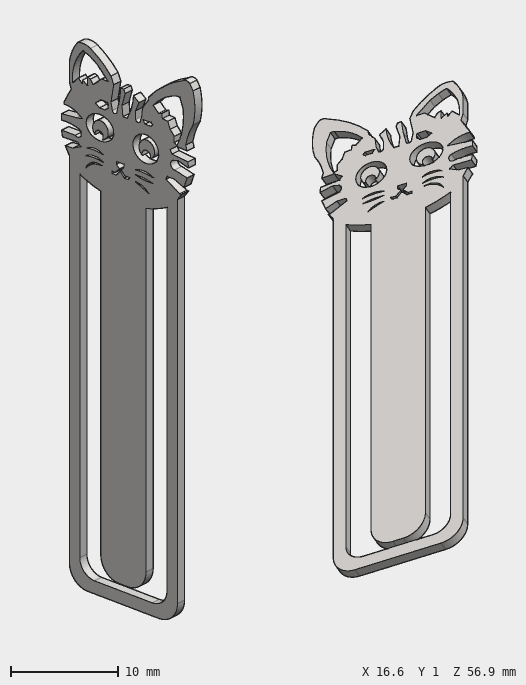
import cadquery as cq

thickness = 1.0

frame_width = 13.45
frame_corner_radius = 2.3
rail_width = 1.3
bottom_rail_height = 1.35
opening_corner_radius = 1.8
opening_width = frame_width - 2 * rail_width

tongue_width = 5.65
tongue_end_radius = 2.3
tongue_bottom = 2.05

chin_bottom = 41.7
chin_rise = 2.0
chin_side = frame_width / 2
chin_end = chin_bottom + chin_rise
tongue_top = chin_bottom + chin_rise / 2

eye_centers = [(-2.9, 48.6), (2.8, 48.2)]
eye_half_sizes = [(1.7, 1.35), (1.6, 1.5)]
pupil_centers = [(-2.85, 48.4), (2.9, 48.2)]
pupil_radius = 0.95
highlight_centers = [(-3.0, 47.75), (2.85, 47.6)]
highlight_radius = 0.5

head_start = (-chin_side, chin_end)
left_cheek = [
    ((-chin_side, 44.5),),
    ((-7.2, 45.35),),
]
left_whiskers = [
    ((-6.25, 45.4),),
    ((-5.3, 45.85),),
    ((-5.7, 46.2),),
    ((-7.55, 46.15),),
    ((-7.7, 46.85),),
    ((-6.0, 46.85),),
    ((-5.25, 47.3), (-5.5, 47.65)),
    ((-6.6, 47.85), (-7.7, 47.85)),
    ((-7.7, 48.55),),
    ((-5.8, 48.7),),
    ((-5.1, 48.85),),
    ((-6.2, 49.45), (-7.4, 49.6)),
]
left_ear = [
    ((-7.4, 49.8),),
    ((-6.85, 50.9),),
    ((-6.5, 51.45),),
    ((-6.7, 52.2),),
    ((-6.7, 54.3),),
    ((-6.4, 55.45), (-5.7, 56.55)),
    ((-4.9, 56.7), (-4.1, 56.45)),
    ((-2.75, 55.55), (-1.55, 54.4)),
    ((-1.2, 53.6),),
    ((-1.55, 51.75),),
]
fringe = [
    ((-1.35, 50.9),),
    ((-1.1, 50.65), (-0.8, 50.95)),
    ((-0.5, 52.2),),
    ((-0.35, 53.55),),
    ((0.05, 53.55),),
    ((0.2, 53.15),),
    ((-0.15, 51.8),),
    ((-0.05, 50.65),),
    ((0.45, 50.65),),
    ((0.95, 51.8), (1.25, 53.25)),
    ((1.95, 52.75),),
    ((1.55, 51.8),),
    ((1.55, 50.9),),
    ((1.8, 50.65), (2.1, 50.95)),
    ((2.3, 51.4),),
]
right_ear = [
    ((2.4, 52.45),),
    ((3.1, 53.3),),
    ((3.15, 53.7),),
    ((5.0, 55.45), (7.35, 56.75)),
    ((7.8, 56.9), (8.25, 56.75)),
    ((8.65, 56.1),),
    ((8.9, 54.35), (8.65, 52.6)),
    ((8.1, 51.4), (7.75, 50.2)),
    ((7.9, 49.6),),
]
right_whiskers = [
    ((6.6, 49.7),),
    ((5.8, 49.1),),
    ((6.05, 48.7),),
    ((8.0, 48.55),),
    ((8.1, 47.9),),
    ((6.8, 48.25),),
    ((6.1, 48.1),),
    ((5.85, 47.65), (6.4, 47.2)),
    ((7.9, 46.85),),
    ((7.5, 45.7),),
    ((6.3, 46.2),),
    ((5.4, 46.2),),
    ((5.3, 45.85),),
    ((7.0, 44.9),),
    ((7.2, 44.9),),
]
right_cheek = [
    ((chin_side, 44.2),),
    ((chin_side, chin_end),),
]
chin = [
    ((0, chin_bottom), head_start),
]

left_ear_opening_start = (-5.0, 55.95)
left_ear_opening = [
    ((-4.15, 55.6),),
    ((-3.3, 55.1),),
    ((-1.9, 53.7),),
    ((-2.75, 53.7),),
    ((-3.75, 52.8),),
    ((-4.1, 53.25),),
    ((-4.45, 53.4),),
    ((-4.45, 52.45),),
    ((-5.05, 52.85),),
    ((-5.1, 52.45),),
    ((-5.6, 52.9),),
    ((-6.3, 52.2),),
    ((-5.9, 54.6), left_ear_opening_start),
]
right_ear_opening_start = (3.7, 53.05)
right_ear_opening = [
    ((5.05, 54.25), (6.6, 54.9)),
    ((7.0, 54.9),),
    ((7.4, 53.85),),
    ((7.35, 51.8), (6.65, 49.8)),
    ((6.3, 50.0),),
    ((6.3, 50.65),),
    ((5.8, 51.2),),
    ((5.5, 51.95),),
    ((4.85, 52.0),),
    ((4.8, 52.5),),
    ((4.4, 52.4),),
    (right_ear_opening_start,),
]

left_brow = [(-3.45, 51.0), (-2.85, 51.5), (-2.0, 51.5), (-1.9, 51.35), (-1.95, 50.95), (-2.3, 50.65), (-2.95, 50.65)]
right_brow = [(2.45, 51.15), (3.4, 51.15), (3.65, 51.0), (3.4, 50.75), (2.7, 50.75)]

nose = [(-0.85, 45.75), (0.05, 45.75), (0.05, 45.45), (-0.4, 45.0), (-0.85, 45.45)]
mouth = [
    (-0.4, 45.2), (0.2, 44.55), (0.8, 44.6), (0.55, 44.35), (0.1, 44.35),
    (-0.4, 44.9), (-0.9, 44.35), (-1.4, 44.35), (-1.4, 44.55), (-1.0, 44.55),
]

cheek_slits = [
    ((-4.5, 46.0), (-3.45, 46.15), (-2.5, 45.9)),
    ((-4.65, 45.15), (-3.6, 45.35), (-2.5, 45.15)),
    ((-4.65, 43.9), (-3.8, 44.6), (-2.7, 44.75)),
    ((1.5, 45.65), (2.55, 45.75), (3.7, 45.5)),
    ((1.5, 45.15), (2.55, 45.0), (3.65, 44.9)),
    ((1.5, 44.4), (2.35, 44.15), (3.15, 43.7)),
]
slit_width = 0.2


def plate(sketch):
    """Extrude a closed sketch on the XZ plane through the full thickness."""
    return sketch.extrude(-thickness)


def profile(start, runs):
    """Plate with an outline of straight and arc runs."""
    path = cq.Workplane("XZ").moveTo(*start)
    for run in runs:
        if len(run) == 1:
            path = path.lineTo(*run[0])
        else:
            path = path.threePointArc(*run)
    return plate(path.close())


def polygon(points):
    """Plate with a straight-sided outline."""
    return plate(cq.Workplane("XZ").polyline(points).close())


def disc(center, radius):
    """Round plate."""
    return plate(cq.Workplane("XZ").center(*center).circle(radius))


def strip(width, bottom, top, corner_radius):
    """Upright strip with its two bottom corners rounded."""
    height = top - bottom
    block = plate(cq.Workplane("XZ").center(0, bottom + height / 2).rect(width, height))
    return block.edges("|Y and <Z").fillet(corner_radius)


def slit(left_end, middle, right_end):
    """Crescent that is slit_width across in the middle and pointed at both ends."""
    x, z = middle
    upper = (x, z + slit_width / 2)
    lower = (x, z - slit_width / 2)
    return profile(left_end, [(upper, right_end), (lower, left_end)])


def make_head():
    runs = left_cheek + left_whiskers + left_ear + fringe + right_ear + right_whiskers + right_cheek + chin
    head = profile(head_start, runs)
    head = head.cut(profile(left_ear_opening_start, left_ear_opening))
    head = head.cut(profile(right_ear_opening_start, right_ear_opening))
    for center, half_sizes in zip(eye_centers, eye_half_sizes):
        head = head.cut(plate(cq.Workplane("XZ").center(*center).ellipse(*half_sizes)))
    for outline in (left_brow, right_brow, nose, mouth):
        head = head.cut(polygon(outline))
    for points in cheek_slits:
        head = head.cut(slit(*points))
    return head


def make_bookmark():
    frame = strip(frame_width, 0, chin_end, frame_corner_radius)
    opening = strip(opening_width, bottom_rail_height, chin_end, opening_corner_radius)
    tongue = strip(tongue_width, tongue_bottom, tongue_top, tongue_end_radius)
    return frame.cut(opening).union(tongue).union(make_head())


def make_pupil(center, highlight_center):
    return disc(center, pupil_radius).cut(disc(highlight_center, highlight_radius))


bookmark = make_bookmark()
pupils = [make_pupil(*centers) for centers in zip(pupil_centers, highlight_centers)]

result = cq.Compound.makeCompound([bookmark.solids().val(), *[pupil.solids().val() for pupil in pupils]])